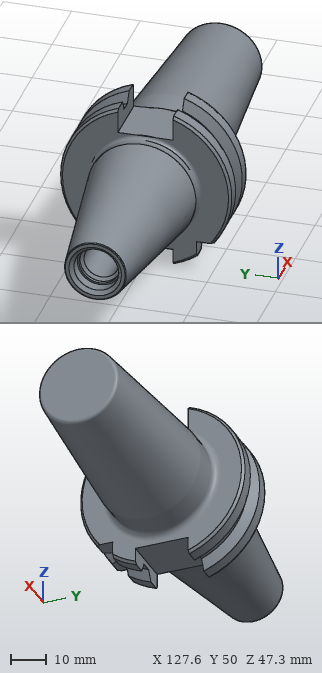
import cadquery as cq
import math

total_length = 127.6
gauge_x = 47.0
neck_x = 48.1
flange_x = 50.8
flange_width = 16.0
flange_end_x = flange_x + flange_width
nose_taper_x = 76.6

gauge_radius = 15.8
taper_slope = 7 / 48
small_end_radius = gauge_radius - taper_slope * gauge_x
small_end_chamfer = 0.3
neck_radius = 15.6
neck_fillet = 1.0
flange_radius = 25.0
flange_chamfer = 0.8
nose_radius = 16.0
nose_root_fillet = 1.9
nose_tip_radius = 12.0
nose_tip_fillet = 1.0

groove_radius = 22.1
groove_floor_width = 3.3
groove_flank_angle = 30.0

slot_width = 16.1
upper_slot_floor = 16.3
lower_slot_floor = 18.8
notch_y = 14.9
notch_z = 15.2

bore_mouth_radius = 7.7
bore_mouth_depth = 1.1
pilot_radius = 6.5
pilot_depth = 4.5
countersink_radius = 6.0
countersink_depth = 5.5
countersink_end_depth = 6.4
thread_radius = 5.1
thread_depth = 24.0
drill_half_angle = 59.0


def fillet_mid(center_x, center_r, radius, angle):
    """Point on a profile fillet at the given angle in degrees."""
    turn = math.radians(angle)
    return (center_x + radius * math.cos(turn), center_r + radius * math.sin(turn))


def revolve_about_x(profile):
    return profile.close().revolve(360, (0, 0, 0), (1, 0, 0))


def turned_body():
    neck_mid = fillet_mid(flange_x - neck_fillet, neck_radius + neck_fillet, neck_fillet, -45)
    root_mid = fillet_mid(
        flange_end_x + nose_root_fillet, nose_radius + nose_root_fillet, nose_root_fillet, -135
    )
    rim = flange_radius - flange_chamfer
    return revolve_about_x(
        cq.Workplane("XY")
        .moveTo(0, 0)
        .lineTo(0, small_end_radius - small_end_chamfer)
        .lineTo(small_end_chamfer, small_end_radius + taper_slope * small_end_chamfer)
        .lineTo(gauge_x, gauge_radius)
        .lineTo(neck_x, neck_radius)
        .lineTo(flange_x - neck_fillet, neck_radius)
        .threePointArc(neck_mid, (flange_x, neck_radius + neck_fillet))
        .lineTo(flange_x, rim)
        .lineTo(flange_x + flange_chamfer, flange_radius)
        .lineTo(flange_end_x - flange_chamfer, flange_radius)
        .lineTo(flange_end_x, rim)
        .lineTo(flange_end_x, nose_radius + nose_root_fillet)
        .threePointArc(root_mid, (flange_end_x + nose_root_fillet, nose_radius))
        .lineTo(nose_taper_x, nose_radius)
        .lineTo(total_length, nose_tip_radius)
        .lineTo(total_length, 0)
    ).faces(">X").edges().fillet(nose_tip_fillet)


def flange_groove():
    center_x = flange_x + flange_width / 2
    floor_half = groove_floor_width / 2
    flank_run = (flange_radius - groove_radius) * math.tan(math.radians(groove_flank_angle))
    top_half = floor_half + flank_run
    return revolve_about_x(
        cq.Workplane("XY")
        .moveTo(center_x - floor_half, groove_radius)
        .lineTo(center_x - top_half, flange_radius)
        .lineTo(center_x + top_half, flange_radius)
        .lineTo(center_x + floor_half, groove_radius)
    )


def drive_slot(floor_z, side):
    """Slot through the flange; side is +1 for +Z and -1 for -Z."""
    length = flange_width + nose_root_fillet
    height = flange_radius - floor_z
    return cq.Workplane("XY").box(length, slot_width, height).translate(
        (flange_x + length / 2, 0, side * (floor_z + height / 2))
    )


def orientation_notch():
    size_y = flange_radius - notch_y
    size_z = flange_radius - notch_z
    return cq.Workplane("XY").box(flange_width, size_y, size_z).translate(
        (flange_x + flange_width / 2, -notch_y - size_y / 2, -notch_z - size_z / 2)
    )


def retention_bore():
    tip_length = thread_radius / math.tan(math.radians(drill_half_angle))
    return revolve_about_x(
        cq.Workplane("XY")
        .moveTo(0, 0)
        .lineTo(0, bore_mouth_radius)
        .lineTo(bore_mouth_depth, pilot_radius)
        .lineTo(pilot_depth, pilot_radius)
        .lineTo(pilot_depth, countersink_radius)
        .lineTo(countersink_depth, countersink_radius)
        .lineTo(countersink_end_depth, thread_radius)
        .lineTo(thread_depth, thread_radius)
        .lineTo(thread_depth + tip_length, 0)
    )


result = (
    turned_body()
    .cut(flange_groove())
    .cut(drive_slot(upper_slot_floor, 1))
    .cut(drive_slot(lower_slot_floor, -1))
    .cut(orientation_notch())
    .cut(retention_bore())
)